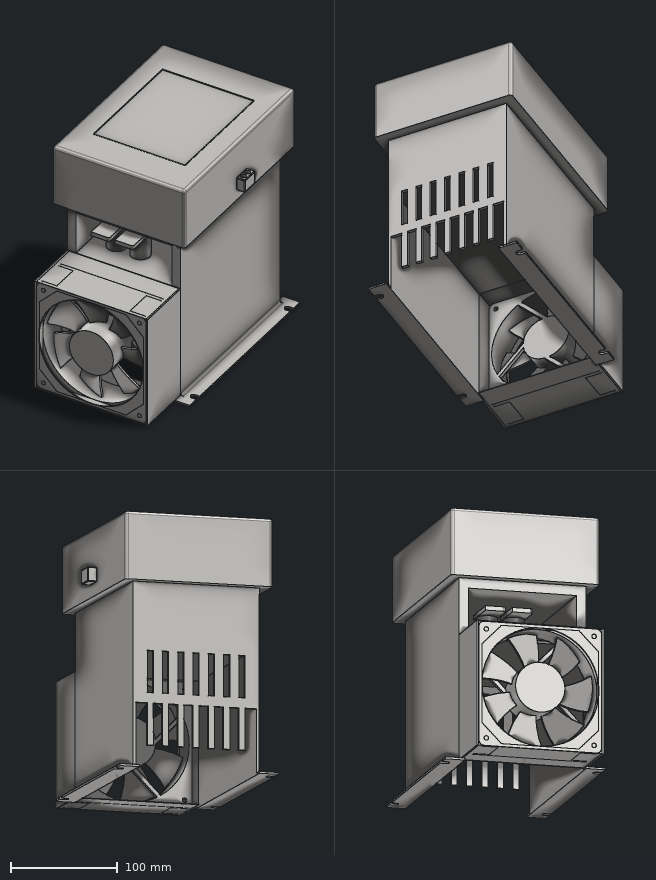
import cadquery as cq
import math

enclosure_width = 145.0
enclosure_depth = 200.0
enclosure_top = 243.0
enclosure_height = 65.0
enclosure_fillet = 3.0
screen_width = 100.0
screen_depth = 125.0
screen_recess = 1.0

column_width = 124.0
column_depth = 180.0
column_wall = 3.0
column_top = enclosure_top - enclosure_height
column_front = -column_depth / 2
column_back = column_depth / 2

chamber_width = 105.0
chamber_floor = 123.0
chamber_ceiling = 168.5
chamber_back_wall = 10.0
floor_thickness = 3.0

post_diameter = 20.0
post_centers_x = (-26.0, 0.0)
post_center_y = -60.0
bar_bottom = 148.5
bar_thickness = 4.25
bar_corner_radius = 2.5

vent_pitch = 15.0
vent_count = 7
vent_width = 6.0
vent_length = 40.0
vent_slot_bottom = 73.0
tooth_bottom = 23.0
tooth_top = tooth_bottom + vent_length

feet_width = 156.0
feet_depth = enclosure_depth
foot_thickness = 2.0
foot_bend_radius = 3.0
foot_slot_width = 6.0
foot_slot_center_y = 85.0
foot_slot_length = 5.0

connector_reach = 82.0
connector_depth = 19.0
connector_height = 14.0
connector_center_y = 2.5
connector_bottom = 190.0
connector_chamfer = 0.8
wire_hole_diameter = 6.0
wire_hole_spacing = 7.5
wire_hole_x = 76.8
wire_hole_depth = 10.0

duct_length = 60.0
duct_front = column_front - duct_length
duct_bottom = 2.5
duct_top = 123.0
duct_side_wall = 2.0
duct_front_sheet = 0.9
duct_top_sheet = 0.5

fan_size = duct_top - duct_bottom - 2 * duct_top_sheet
fan_center_z = (duct_top + duct_bottom) / 2
fan_front = duct_front + duct_front_sheet
fan_depth = 37.0
fan_flange = 3.8
fan_corner_radius = 5.0
fan_waist_flat = 80.0
fan_bore = 114.0
mouth_flat = 75.5
mouth_depth = 6.5
screw_spacing = 105.0
screw_hole = 4.3
hub_diameter = 48.0
blade_count = 7
blade_tip_radius = 55.5
blade_middle_radius = 40.0
blade_root_angles = (81.4, 116.5)
blade_middle_angles = (83.3, 117.2)
blade_tip_angles = (87.3, 120.6)
blade_tilt = 20.0
blade_thickness = 2.5
blade_setback = 18.0
blade_center_y = fan_front + blade_setback
strut_count = 4
strut_width = 4.0
strut_offset = 16.0
strut_first_angle = 45.0
joint_overlap = 1.0


def block(x0, x1, y0, y1, z0, z1):
    """Box between two opposite corners."""
    return cq.Workplane("XY").box(x1 - x0, y1 - y0, z1 - z0, centered=False).translate((x0, y0, z0))


def centered_block(width, y0, y1, z0, z1):
    """Box that is symmetric about X = 0."""
    return block(-width / 2, width / 2, y0, y1, z0, z1)


def facing_front(y):
    """Sketch plane at depth y on the fan axis: local x is -X, local y is Z, extrusion runs to +Y."""
    plane = cq.Plane(origin=(0, y, fan_center_z), xDir=(-1, 0, 0), normal=(0, 1, 0))
    return cq.Workplane(plane)


def polar(radius, angle):
    """Point on the facing_front plane, angle in degrees counter-clockwise seen from the front."""
    a = math.radians(angle)
    return (-radius * math.cos(a), radius * math.sin(a))


def octagon(size, flat):
    """Corner points of a square with its corners cut off, leaving flats of the given length."""
    s = size / 2
    f = flat / 2
    return [(-f, s), (f, s), (s, f), (s, -f), (f, -s), (-f, -s), (-s, -f), (-s, f)]


def make_enclosure():
    half_depth = enclosure_depth / 2
    body = centered_block(enclosure_width, -half_depth, half_depth, column_top, enclosure_top)
    body = body.edges("|Z").fillet(enclosure_fillet)
    body = body.faces(">Z").edges().fillet(enclosure_fillet)
    screen = centered_block(
        screen_width, -screen_depth / 2, screen_depth / 2, enclosure_top - screen_recess, enclosure_top
    )
    return body.cut(screen)


def make_column():
    tunnel_width = column_width - 2 * column_wall
    tunnel_top = chamber_floor - floor_thickness
    back_plate_front = column_back - column_wall
    column = centered_block(column_width, column_front, column_back, 0, column_top)
    chamber_back = column_back - chamber_back_wall
    chamber = centered_block(chamber_width, column_front, chamber_back, chamber_floor, chamber_ceiling)
    column = column.cut(chamber)
    column = column.cut(centered_block(tunnel_width, column_front, back_plate_front, 0, tunnel_top))
    column = column.cut(centered_block(tunnel_width, back_plate_front, column_back, 0, tooth_top))
    for i in range(vent_count):
        x = (i - (vent_count - 1) / 2) * vent_pitch
        x0 = x - vent_width / 2
        x1 = x + vent_width / 2
        slot_top = vent_slot_bottom + vent_length
        column = column.cut(block(x0, x1, back_plate_front, column_back, vent_slot_bottom, slot_top))
        column = column.union(block(x0, x1, back_plate_front, column_back, tooth_bottom, tooth_top))
    return column


def make_left_foot():
    outer = -feet_width / 2
    wall_outer = -column_width / 2
    foot = block(outer, wall_outer + column_wall, -feet_depth / 2, feet_depth / 2, 0, foot_thickness)
    r = foot_bend_radius
    bend = (
        cq.Workplane("XZ", origin=(wall_outer, column_back, foot_thickness))
        .lineTo(-r, 0)
        .radiusArc((0, r), -r)
        .close()
        .extrude(column_depth)
    )
    foot = foot.union(bend)
    for y in (-foot_slot_center_y, foot_slot_center_y):
        slot = (
            cq.Workplane("XY")
            .center(outer, y)
            .slot2D(2 * foot_slot_length + foot_slot_width, foot_slot_width)
            .extrude(foot_thickness)
        )
        foot = foot.cut(slot)
    return foot


def make_terminal(x):
    radius = post_diameter / 2
    post = (
        cq.Workplane("XY", origin=(x, post_center_y, chamber_floor))
        .circle(radius)
        .extrude(bar_bottom - chamber_floor)
    )
    bar = block(
        x - radius, x + radius, column_front, post_center_y + radius, bar_bottom, bar_bottom + bar_thickness
    )
    bar = bar.edges("|Z and >X and <Y").fillet(bar_corner_radius)
    return post.union(bar)


def make_connector():
    y0 = connector_center_y - connector_depth / 2
    top = connector_bottom + connector_height
    body = block(enclosure_width / 2, connector_reach, y0, y0 + connector_depth, connector_bottom, top)
    body = body.edges().chamfer(connector_chamfer)
    holes = (
        cq.Workplane("XY", origin=(wire_hole_x, connector_center_y, top))
        .rarray(1, wire_hole_spacing, 1, 2)
        .circle(wire_hole_diameter / 2)
        .extrude(-wire_hole_depth)
    )
    return body.cut(holes)


def make_housing():
    left_foot = make_left_foot()
    housing = make_column().union(make_enclosure())
    housing = housing.union(left_foot).union(left_foot.mirror("YZ"))
    for x in post_centers_x:
        housing = housing.union(make_terminal(x))
    return housing.union(make_connector())


def make_duct():
    duct = centered_block(column_width, duct_front, column_front, duct_bottom, duct_top)
    inner_width = column_width - 2 * duct_side_wall
    inside = centered_block(
        inner_width, fan_front, column_front, duct_bottom + duct_top_sheet, duct_top - duct_top_sheet
    )
    air_hole = facing_front(duct_front).circle(fan_bore / 2).extrude(duct_front_sheet)
    return duct.cut(inside).cut(air_hole)


def make_fan_frame():
    frame = facing_front(fan_front).polyline(octagon(fan_size, fan_waist_flat)).close().extrude(fan_depth)
    for y in (fan_front, fan_front + fan_depth - fan_flange):
        flange = facing_front(y).rect(fan_size, fan_size).extrude(fan_flange)
        frame = frame.union(flange.edges("|Y").fillet(fan_corner_radius))
    bore = facing_front(fan_front).circle(fan_bore / 2).extrude(fan_depth)
    mouth = facing_front(fan_front).polyline(octagon(fan_bore, mouth_flat)).close().extrude(mouth_depth)
    screw_holes = (
        facing_front(fan_front)
        .rarray(screw_spacing, screw_spacing, 2, 2)
        .circle(screw_hole / 2)
        .extrude(fan_depth)
    )
    return frame.cut(bore).cut(mouth).cut(screw_holes)


def make_strut():
    """Strut along +X beside the fan axis, from the hub to the frame."""
    length = math.sqrt((fan_bore / 2) ** 2 - strut_offset**2) + joint_overlap
    z = fan_center_z + strut_offset
    back = fan_front + fan_depth
    return block(0, length, back - fan_flange, back, z - strut_width / 2, z + strut_width / 2)


def make_blade():
    """Flat tilted plate trimmed to an outline that widens from the hub to the tip."""
    root_radius = hub_diameter / 2 - joint_overlap
    tip_middle = sum(blade_tip_angles) / 2
    right_root, left_root = (polar(root_radius, angle) for angle in blade_root_angles)
    right_middle, left_middle = (polar(blade_middle_radius, angle) for angle in blade_middle_angles)
    right_tip, left_tip = (polar(blade_tip_radius, angle) for angle in blade_tip_angles)
    outline = (
        facing_front(fan_front)
        .moveTo(*right_root)
        .threePointArc(right_middle, right_tip)
        .threePointArc(polar(blade_tip_radius, tip_middle), left_tip)
        .threePointArc(left_middle, left_root)
        .close()
        .extrude(fan_depth)
    )
    plate = cq.Workplane("XY").box(fan_bore, blade_thickness, fan_bore)
    plate = plate.rotate((0, 0, 0), (0, 0, 1), blade_tilt)
    plate = plate.rotate((0, 0, 0), (0, 1, 0), 90 - tip_middle)
    plate = plate.translate((0, blade_center_y, fan_center_z))
    return outline.intersect(plate)


def around_fan_axis(shape, angle):
    """Turn a shape about the fan axis, counter-clockwise seen from the front."""
    return shape.rotate((0, 0, fan_center_z), (0, -1, fan_center_z), angle)


def make_fan():
    fan = make_fan_frame()
    fan = fan.union(facing_front(fan_front).circle(hub_diameter / 2).extrude(fan_depth))
    strut = make_strut()
    for i in range(strut_count):
        fan = fan.union(around_fan_axis(strut, strut_first_angle + i * 360 / strut_count))
    blade = make_blade()
    for i in range(blade_count):
        fan = fan.union(around_fan_axis(blade, i * 360 / blade_count))
    return fan


housing = make_housing()
duct = make_duct()
fan = make_fan()
result = cq.Compound.makeCompound([body.solids().val() for body in (housing, duct, fan)])